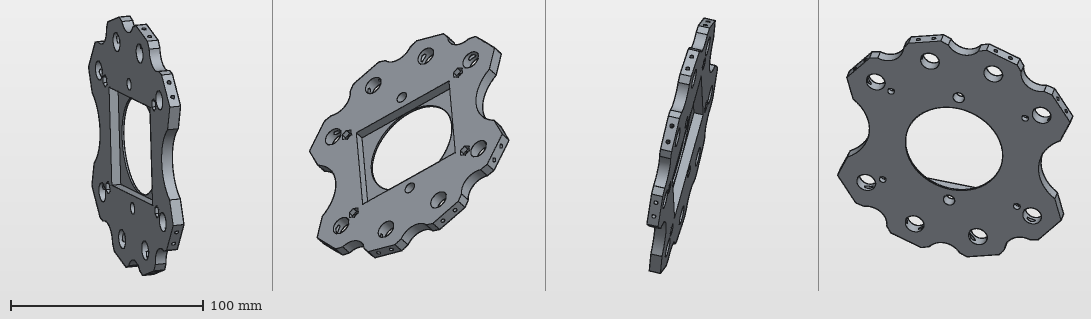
import cadquery as cq
import math

HEIGHT = 134.5
THICKNESS = 6.0
TILT = 4.5
SECTORS = 10
SECTOR_ANGLE = 360 / SECTORS
LOBE_ANGLES = [SECTOR_ANGLE * i for i in range(SECTORS) if i % (SECTORS // 2) != 0]

FLAT_HALF_WIDTH = 8.9
TOP_LOBE_ANGLE = math.radians(2 * SECTOR_ANGLE + TILT)
FLAT_DISTANCE = (HEIGHT / 2 - FLAT_HALF_WIDTH * math.cos(TOP_LOBE_ANGLE)) / math.sin(TOP_LOBE_ANGLE)
SHOULDER_FOOT_DISTANCE = 64.1
SHOULDER_FOOT_OFFSET = 12.4

WAIST_FLAT_HALF_WIDTH = 9.8
WAIST_FOOT_DISTANCE = 55.9
WAIST_FOOT_OFFSET = 17.6
WAIST_DEPTH_DISTANCE = 45.5

SCALLOP_RADIUS = 10.0
SCALLOP_DEPTH_DISTANCE = FLAT_DISTANCE / math.cos(math.radians(SECTOR_ANGLE / 2)) - SCALLOP_RADIUS

BORE_DIAMETER = 52.0
POCKET_WIDTH = 60.0
POCKET_HEIGHT = BORE_DIAMETER
POCKET_DEPTH = 5.0

BOLT_DIAMETER = 10.0
BOLT_CIRCLE_RADIUS = 55.0
PIN_DIAMETER = 6.0
PIN_OFFSET = 33.0
SCREW_DIAMETER = 3.5
SCREW_SPACING_X = 71.9
SCREW_SPACING_Z = 56.7

NUT_FLATS = 5.5
NUT_CORNERS = NUT_FLATS / math.cos(math.pi / 6)
NUT_DEPTH = 3.0

EDGE_HOLE_DIAMETER = 2.0
EDGE_HOLE_SPACING = 8.5
EDGE_HOLE_DEPTH = FLAT_DISTANCE - BOLT_CIRCLE_RADIUS


def polar(radius, angle):
    """Point at a distance from the plate axis, with the angle in degrees from +X toward +Z."""
    return (radius * math.cos(math.radians(angle)), radius * math.sin(math.radians(angle)))


def lobe_point(lobe_angle, distance, offset):
    """Point at a distance along the lobe's centre line and an offset across it."""
    return polar(math.hypot(distance, offset), lobe_angle + math.degrees(math.atan2(offset, distance)))


def faces_waist(lobe_angle, side):
    return (lobe_angle + side * SECTOR_ANGLE) % 180 == 0


def foot_point(lobe_angle, side):
    if faces_waist(lobe_angle, side):
        return lobe_point(lobe_angle, WAIST_FOOT_DISTANCE, side * WAIST_FOOT_OFFSET)
    return lobe_point(lobe_angle, SHOULDER_FOOT_DISTANCE, side * SHOULDER_FOOT_OFFSET)


def flat_corner(lobe_angle, side):
    half_width = WAIST_FLAT_HALF_WIDTH if faces_waist(lobe_angle, side) else FLAT_HALF_WIDTH
    return lobe_point(lobe_angle, FLAT_DISTANCE, side * half_width)


def front_sketch():
    """Sketch on the front (-Y side) face, which lies at Y = 0; local x and y are X and Z."""
    return cq.Workplane("XZ")


def into_plate(sketch, depth):
    """Extrude a front sketch from the front face into the plate."""
    return sketch.extrude(-depth)


def make_blank():
    outline = front_sketch().moveTo(*foot_point(LOBE_ANGLES[0], -1))
    next_lobes = LOBE_ANGLES[1:] + LOBE_ANGLES[:1]
    for lobe, next_lobe in zip(LOBE_ANGLES, next_lobes):
        outline = outline.lineTo(*flat_corner(lobe, -1))
        outline = outline.lineTo(*flat_corner(lobe, 1))
        outline = outline.lineTo(*foot_point(lobe, 1))
        if faces_waist(lobe, 1):
            deepest = polar(WAIST_DEPTH_DISTANCE, lobe + SECTOR_ANGLE)
        else:
            deepest = polar(SCALLOP_DEPTH_DISTANCE, lobe + SECTOR_ANGLE / 2)
        outline = outline.threePointArc(deepest, foot_point(next_lobe, -1))
    return into_plate(outline.close(), THICKNESS)


def central_opening():
    bore = into_plate(front_sketch().circle(BORE_DIAMETER / 2), THICKNESS)
    pocket = into_plate(front_sketch().rect(POCKET_WIDTH, POCKET_HEIGHT), POCKET_DEPTH)
    return bore.union(pocket)


def through_holes(points, diameter):
    return into_plate(front_sketch().pushPoints(points).circle(diameter / 2), THICKNESS)


def nut_recess(x, z):
    """Hexagonal recess with two corners pointing along Z."""
    hexagon = front_sketch().center(x, z).transformed(rotate=(0, 0, 30)).polygon(6, NUT_CORNERS)
    return into_plate(hexagon, NUT_DEPTH)


def edge_holes(lobe_angle):
    """Pair of holes drilled from a lobe's flat end toward the plate axis."""
    half_spacing = EDGE_HOLE_SPACING / 2
    centres = [(THICKNESS / 2, -half_spacing), (THICKNESS / 2, half_spacing)]
    end_plane = cq.Workplane("YZ", origin=(FLAT_DISTANCE, 0, 0))
    pair = end_plane.pushPoints(centres).circle(EDGE_HOLE_DIAMETER / 2).extrude(-EDGE_HOLE_DEPTH)
    return pair.rotate((0, 0, 0), (0, 1, 0), -lobe_angle)


bolt_points = [polar(BOLT_CIRCLE_RADIUS, angle) for angle in LOBE_ANGLES]
pin_points = [(0, -PIN_OFFSET), (0, PIN_OFFSET)]
screw_points = [
    (side_x * SCREW_SPACING_X / 2, side_z * SCREW_SPACING_Z / 2)
    for side_x in (-1, 1)
    for side_z in (-1, 1)
]

plate = make_blank().cut(central_opening())
plate = plate.cut(through_holes(bolt_points, BOLT_DIAMETER))
plate = plate.cut(through_holes(pin_points, PIN_DIAMETER))
plate = plate.cut(through_holes(screw_points, SCREW_DIAMETER))
for screw_x, screw_z in screw_points:
    plate = plate.cut(nut_recess(screw_x, screw_z))
for angle in LOBE_ANGLES:
    plate = plate.cut(edge_holes(angle))

result = plate.rotate((0, 0, 0), (0, 1, 0), -TILT)